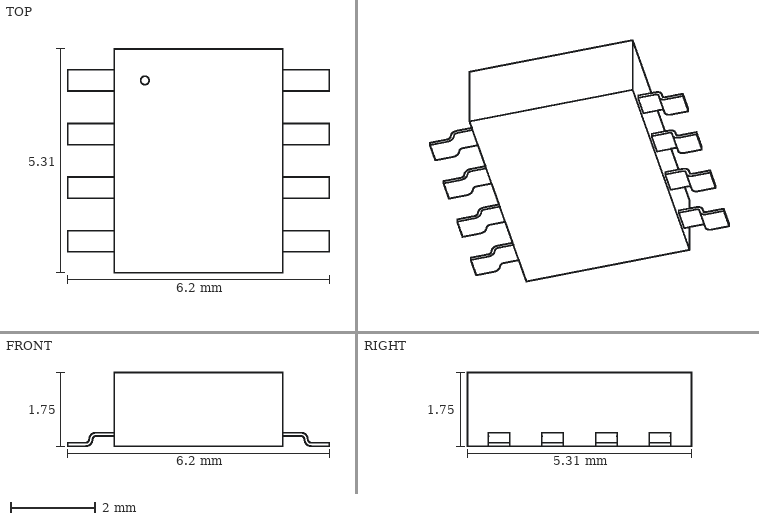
import cadquery as cq
import math

BODY_LENGTH_X = 4.0
BODY_WIDTH_Y = 5.31
BODY_HEIGHT = 1.75

OVERALL_SPAN_X = 6.2
LEADS_PER_SIDE = 4
LEAD_PITCH = 1.27
LEAD_WIDTH = 0.508
LEAD_THICKNESS = 0.085
LEAD_TOP_HEIGHT = 0.325
FOOT_LENGTH = 0.43
BEND_INNER_RADIUS = 0.075
BEND_ANGLE = math.radians(80)
BEND_OUTER_RADIUS = BEND_INNER_RADIUS + LEAD_THICKNESS

FIRST_LEAD_Y = LEAD_PITCH * (LEADS_PER_SIDE - 1) / 2
MARK_DIAMETER = 0.2
MARK_DEPTH = 0.1
MARK_X = -LEAD_PITCH
MARK_Y = FIRST_LEAD_Y


def make_mark():
    """Round orientation mark, flush with the top of the body."""
    return (
        cq.Workplane("XY", origin=(MARK_X, MARK_Y, BODY_HEIGHT - MARK_DEPTH))
        .circle(MARK_DIAMETER / 2)
        .extrude(MARK_DEPTH)
    )


def make_body():
    """Rectangular package body standing on Z = 0, recessed for the mark."""
    block = cq.Workplane("XY").box(
        BODY_LENGTH_X, BODY_WIDTH_Y, BODY_HEIGHT, centered=(True, True, False)
    )
    return block.cut(make_mark())


def arc_point(center, radius, angle):
    """Point (x, z) on a circle, with the angle measured from +X toward +Z."""
    return (
        center[0] + radius * math.cos(angle),
        center[1] + radius * math.sin(angle),
    )


def make_lead(y):
    """Lead on the +X side: shoulder, S-bend down and flat foot, centred on the given Y."""
    body_face_x = BODY_LENGTH_X / 2
    tip_x = OVERALL_SPAN_X / 2
    shoulder_bottom = LEAD_TOP_HEIGHT - LEAD_THICKNESS

    radius_sum = BEND_INNER_RADIUS + BEND_OUTER_RADIUS
    leg_drop = shoulder_bottom - radius_sum * (1 - math.cos(BEND_ANGLE))
    bend_run = radius_sum * math.sin(BEND_ANGLE) + leg_drop / math.tan(BEND_ANGLE)

    foot_start_x = tip_x - FOOT_LENGTH
    shoulder_end_x = foot_start_x - bend_run
    upper_center = (shoulder_end_x, LEAD_TOP_HEIGHT - BEND_OUTER_RADIUS)
    lower_center = (foot_start_x, BEND_OUTER_RADIUS)

    upper_start = math.pi / 2
    upper_middle = upper_start - BEND_ANGLE / 2
    upper_end = upper_start - BEND_ANGLE
    lower_start = upper_end + math.pi
    lower_middle = upper_middle + math.pi
    lower_end = upper_start + math.pi

    profile = (
        cq.Workplane("XZ", origin=(0, y + LEAD_WIDTH / 2, 0))
        .moveTo(body_face_x, LEAD_TOP_HEIGHT)
        .lineTo(shoulder_end_x, LEAD_TOP_HEIGHT)
        .threePointArc(
            arc_point(upper_center, BEND_OUTER_RADIUS, upper_middle),
            arc_point(upper_center, BEND_OUTER_RADIUS, upper_end),
        )
        .lineTo(*arc_point(lower_center, BEND_INNER_RADIUS, lower_start))
        .threePointArc(
            arc_point(lower_center, BEND_INNER_RADIUS, lower_middle),
            arc_point(lower_center, BEND_INNER_RADIUS, lower_end),
        )
        .lineTo(tip_x, LEAD_THICKNESS)
        .lineTo(tip_x, 0)
        .lineTo(foot_start_x, 0)
        .threePointArc(
            arc_point(lower_center, BEND_OUTER_RADIUS, lower_middle),
            arc_point(lower_center, BEND_OUTER_RADIUS, lower_start),
        )
        .lineTo(*arc_point(upper_center, BEND_INNER_RADIUS, upper_end))
        .threePointArc(
            arc_point(upper_center, BEND_INNER_RADIUS, upper_middle),
            arc_point(upper_center, BEND_INNER_RADIUS, upper_start),
        )
        .lineTo(body_face_x, shoulder_bottom)
        .close()
    )
    return profile.extrude(LEAD_WIDTH)


body = make_body()
mark = make_mark()

leads = []
for row in range(LEADS_PER_SIDE):
    right_lead = make_lead(FIRST_LEAD_Y - row * LEAD_PITCH)
    left_lead = right_lead.mirror("YZ")
    leads += [right_lead.val(), left_lead.val()]

result = cq.Compound.makeCompound([body.val(), mark.val(), *leads])